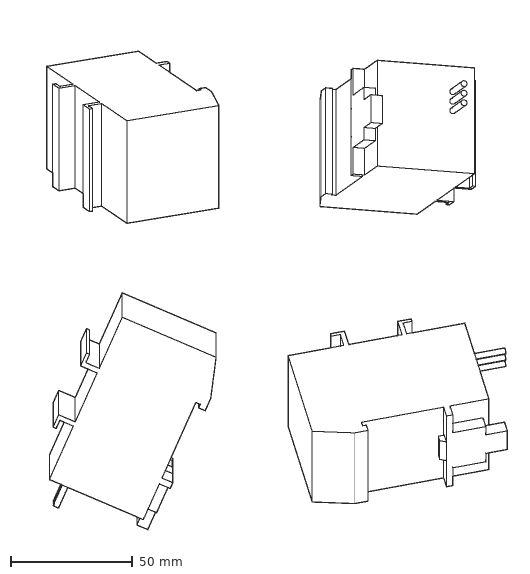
import cadquery as cq

total_length = 90.0
total_depth = 54.8
height = 45.0

pin_length = 14.85
body_left = pin_length
body_front = 7.5
clip_height = 4.95
body_back = total_depth - clip_height

foot_lip = 1.4
left_foot_tip = 35.8
left_foot_web = (39.6, 41.6)
right_foot_web = (64.2, 66.3)
right_foot_tip = 70.2

claw_tip = 67.4
claw_root = 69.0
claw_gap = 2.0
claw_slope_start = 73.2

stop_wall = (31.4, 34.1)
latch_left = 8.2
latch_tip = 36.6
latch_width = 11.9
latch_gap = 1.1
latch_bevel_depth = 1.4
guide_left = 17.4
guide_width = 22.3

pin_diameter = 2.5
pin_y = 17.0
pin_pitch = 4.05
middle_pin_z = 30.1


def prism(points, z_height=height):
    """Extrude a closed XY outline upward, centred on the housing mid-height."""
    bottom = (height - z_height) / 2
    return cq.Workplane("XY").workplane(offset=bottom).polyline(points).close().extrude(z_height)


def block(x_range, y_range, z_height=height):
    """Rectangular block centred on the housing mid-height."""
    x0, x1 = x_range
    y0, y1 = y_range
    return prism([(x0, y0), (x1, y0), (x1, y1), (x0, y1)], z_height)


def make_housing():
    """Plain box with the rail claw rising from its back right corner."""
    return prism([
        (body_left, body_front),
        (total_length, body_front),
        (total_length, body_back),
        (claw_slope_start, total_depth),
        (claw_tip, total_depth),
        (claw_tip, body_back + claw_gap),
        (claw_root, body_back + claw_gap),
        (claw_root, body_back),
        (body_left, body_back),
    ])


def make_foot(web, lip_range):
    """Full-height web with a lip along its free edge."""
    return block(web, (0, body_front)).union(block(lip_range, (0, foot_lip)))


def make_latch():
    """Stop wall, guide block and the latch tongue with its bevelled hook."""
    clip_span = (body_back, total_depth)
    wall_right = stop_wall[1]
    tongue = prism([
        (latch_left, body_back),
        (wall_right, body_back),
        (wall_right, body_back + latch_gap),
        (latch_tip, body_back + latch_gap),
        (latch_tip, total_depth - latch_bevel_depth),
        (wall_right, total_depth),
        (latch_left, total_depth),
    ], latch_width)
    guide = block((guide_left, stop_wall[0]), clip_span, guide_width)
    return block(stop_wall, clip_span).union(guide).union(tongue)


def make_pins():
    """Three round pins stacked in Z, ending at the left face."""
    centers = [(pin_y, middle_pin_z + step * pin_pitch) for step in (-1, 0, 1)]
    return cq.Workplane("YZ").pushPoints(centers).circle(pin_diameter / 2).extrude(pin_length)


result = (
    make_housing()
    .union(make_foot(left_foot_web, (left_foot_tip, left_foot_web[1])))
    .union(make_foot(right_foot_web, (right_foot_web[0], right_foot_tip)))
    .union(make_latch())
    .union(make_pins())
)